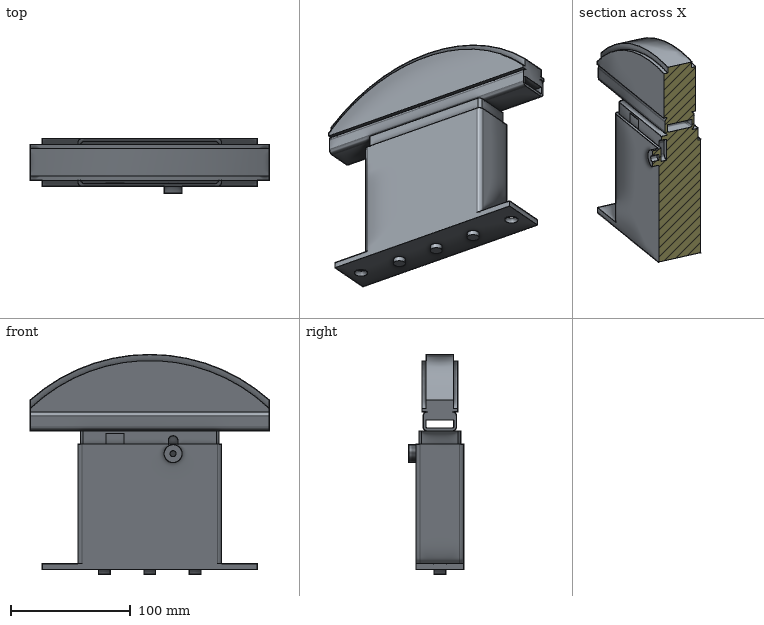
import cadquery as cq

plate_length = 180.0
plate_width = 40.0
plate_thickness = 5.0
plate_hole_diameter = 11.0
plate_hole_edge_distance = 12.5

foot_diameter = 10.0
foot_height = 4.0
foot_pitch = 38.0

housing_length = 120.0
housing_height = 100.0
housing_corner_radius = 3.5

slide_length = 116.0
slide_width = 35.0
slide_exposed_height = 11.0
slide_corner_chamfer = 2.2

knob_x = 19.5
knob_diameter = 15.0
knob_length = 6.0
knob_drop = 8.0
knob_hole_diameter = 5.0
slot_width = 8.0
slot_depth = 5.0
slot_top_gap = 4.0

window_x = -29.0
window_width = 15.0
window_top_gap = 2.0
window_depth = 0.2

rail_length = 200.0
rail_width = 28.0
rail_height = 16.0
rail_wall = 2.5
rail_opening = 14.0
rail_corner_radius = 3.5

shoe_radius = 150.0
shoe_core_width = rail_width - 2 * rail_wall
cheek_width = 30.0
cheek_step = 5.2
shoe_tongue_gap = 6.5
shoe_height = 48.0

plate_top = foot_height + plate_thickness
housing_top = plate_top + housing_height
slide_top = housing_top + slide_exposed_height
rail_top = slide_top + rail_height
shoe_top = rail_top + shoe_height
arc_center_z = shoe_top - shoe_radius
knob_z = housing_top - knob_drop
slide_front = -slide_width / 2
housing_front = -plate_width / 2


def box(length, width, bottom, top, x=0.0, y=0.0):
    """Upright box centred on (x, y) between two levels."""
    return (
        cq.Workplane("XY", origin=(x, y, bottom))
        .rect(length, width)
        .extrude(top - bottom)
    )


def cylinder_along_y(diameter, x, z, front, length):
    """Cylinder running from the front plane towards +Y."""
    return (
        cq.Workplane("XZ", origin=(x, front, z))
        .circle(diameter / 2)
        .extrude(-length)
    )


def make_base():
    plate = box(plate_length, plate_width, foot_height, plate_top)
    hole_x = plate_length / 2 - plate_hole_edge_distance
    plate = (
        plate.faces(">Z").workplane()
        .pushPoints([(-hole_x, 0), (hole_x, 0)])
        .hole(plate_hole_diameter)
    )
    feet = (
        cq.Workplane("XY")
        .pushPoints([(-foot_pitch, 0), (0, 0), (foot_pitch, 0)])
        .circle(foot_diameter / 2)
        .extrude(foot_height)
    )
    return plate.union(feet)


def make_housing():
    housing = box(housing_length, plate_width, plate_top, housing_top)
    return housing.edges("|Z").fillet(housing_corner_radius)


def make_slide():
    slide = box(slide_length, slide_width, housing_top, slide_top)
    slide = slide.edges("|Z").chamfer(slide_corner_chamfer)
    return slide


def make_slot():
    """Vertical slot in the slide, running down behind the housing wall to the knob axis."""
    upper_center_z = slide_top - slot_top_gap - slot_width / 2
    slot_center_y = slide_front + slot_depth / 2
    slot = box(slot_width, slot_depth, knob_z, upper_center_z, knob_x, slot_center_y)
    for end_z in (knob_z, upper_center_z):
        slot = slot.union(cylinder_along_y(slot_width, knob_x, end_z, slide_front, slot_depth))
    return slot


def make_window():
    return box(
        window_width, window_depth, housing_top, slide_top - window_top_gap,
        window_x, slide_front + window_depth / 2,
    )


def make_knob():
    front = housing_front - knob_length
    knob = cylinder_along_y(knob_diameter, knob_x, knob_z, front, knob_length)
    hole = cylinder_along_y(knob_hole_diameter, knob_x, knob_z, front, knob_length)
    return knob.cut(hole)


def make_rail():
    rail = box(rail_length, rail_width, slide_top, rail_top)
    rail = rail.edges("|X").fillet(rail_corner_radius)
    cavity = box(rail_length, shoe_core_width, slide_top + rail_wall, rail_top - rail_wall)
    cavity = cavity.edges("|X").fillet(rail_corner_radius - rail_wall)
    opening = box(rail_length, rail_opening, rail_top - rail_wall, rail_top)
    return rail.cut(cavity).cut(opening)


def make_arched_plate(width, radius):
    """Plate standing on the rail, bounded above by an arc and at the ends by the rail length."""
    block = box(rail_length, width, rail_top, shoe_top)
    disc = cylinder_along_y(2 * radius, 0, arc_center_z, -width / 2, width)
    return block.intersect(disc)


def make_shoe():
    core = make_arched_plate(shoe_core_width, shoe_radius)
    cheeks = make_arched_plate(cheek_width, shoe_radius - cheek_step)
    neck = box(rail_length, rail_opening, rail_top - rail_wall, rail_top)
    tongue_bottom = slide_top + rail_wall + shoe_tongue_gap
    tongue = box(rail_length, shoe_core_width, tongue_bottom, rail_top - rail_wall)
    return core.union(cheeks).union(neck).union(tongue)


result = make_base()
for component in (make_housing(), make_slide(), make_knob(), make_rail(), make_shoe()):
    result = result.union(component)
result = result.cut(make_slot()).cut(make_window())